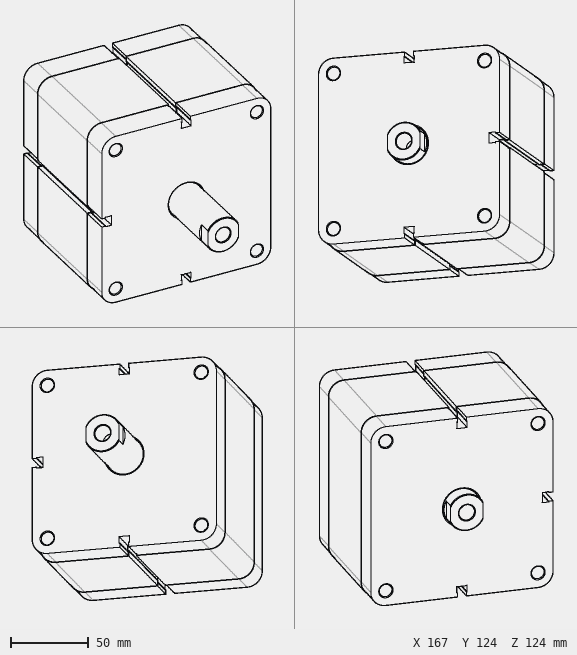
import cadquery as cq
import math

cap_length = 19.5
tube_length = 67.5
housing_length = tube_length + 2 * cap_length
rod_left_overhang = 10.25
rod_right_overhang = 50.25
rod_length = rod_left_overhang + housing_length + rod_right_overhang

tube_width = 124.0
cap_setback = 0.3
cap_width = tube_width - 2 * cap_setback

hole_offset = 51.5
hole_diameter = 8.5
hole_chamfer = 0.6
tube_corner_radius = tube_width / 2 - hole_offset
cap_corner_radius = cap_width / 2 - hole_offset

slot_floor_height = 54.5
cap_slot_mouth = 6.0
cap_slot_floor = 7.0
cap_slot_step_height = 58.8
slot_wall_setback = 0.5
tube_slot_mouth = cap_slot_mouth - 2 * slot_wall_setback
tube_slot_floor = cap_slot_floor - 2 * slot_wall_setback
tube_slot_step_height = 58.2
slot_angles = (0, 90, 180)

rod_diameter = 25.0
rod_end_chamfer = 0.5
rod_bore_chamfer = 0.8
flat_width = 22.0
flat_length = 9.0
tap_diameter = 10.5
tap_depth = 20.0
tap_chamfer = 0.5
drill_point_angle = 118.0


def square_block(start, length, width, corner_radius):
    """Rounded square prism around the X axis, running from X = start."""
    return (
        cq.Workplane("YZ", origin=(start, 0, 0))
        .rect(width, width)
        .extrude(length)
        .edges("|X")
        .fillet(corner_radius)
    )


def cut_slots(block, start, length, mouth, floor, step_height):
    """Cut the undercut slots into the top, front and bottom sides."""
    top = tube_width / 2
    profile = [
        (-floor / 2, slot_floor_height),
        (floor / 2, slot_floor_height),
        (floor / 2, step_height),
        (mouth / 2, step_height),
        (mouth / 2, top),
        (-mouth / 2, top),
        (-mouth / 2, step_height),
        (-floor / 2, step_height),
    ]
    slot = cq.Workplane("YZ", origin=(start, 0, 0)).polyline(profile).close().extrude(length)
    for angle in slot_angles:
        block = block.cut(slot.rotate((0, 0, 0), (1, 0, 0), angle))
    return block


def cut_holes(block, start, length):
    """Cut the rod bore and the four tie-rod holes."""
    rod_bore = cq.Workplane("YZ", origin=(start, 0, 0)).circle(rod_diameter / 2).extrude(length)
    holes = (
        cq.Workplane("YZ", origin=(start, 0, 0))
        .rect(2 * hole_offset, 2 * hole_offset, forConstruction=True)
        .vertices()
        .circle(hole_diameter / 2)
        .extrude(length)
    )
    return block.cut(rod_bore).cut(holes)


def make_tube():
    tube = square_block(cap_length, tube_length, tube_width, tube_corner_radius)
    tube = cut_slots(
        tube, cap_length, tube_length, tube_slot_mouth, tube_slot_floor, tube_slot_step_height
    )
    return cut_holes(tube, cap_length, tube_length)


def make_left_cap():
    """End cap whose outer face, with chamfered holes, lies at X = 0."""
    cap = square_block(0, cap_length, cap_width, cap_corner_radius)
    cap = cut_slots(cap, 0, cap_length, cap_slot_mouth, cap_slot_floor, cap_slot_step_height)
    cap = cut_holes(cap, 0, cap_length)
    rod_rim = cap.faces("<X").edges("%CIRCLE").edges(cq.selectors.RadiusNthSelector(-1))
    cap = rod_rim.chamfer(rod_bore_chamfer)
    tie_rod_rims = cap.faces("<X").edges(cq.selectors.RadiusNthSelector(0))
    return tie_rod_rims.chamfer(hole_chamfer)


def make_tapped_hole():
    """Chamfered hole with a drill point, entering +X from the origin."""
    radius = tap_diameter / 2
    point_depth = radius / math.tan(math.radians(drill_point_angle / 2))
    half_section = [
        (0, 0),
        (0, radius + tap_chamfer),
        (tap_chamfer, radius),
        (tap_depth, radius),
        (tap_depth + point_depth, 0),
    ]
    return (
        cq.Workplane("XY")
        .polyline(half_section)
        .close()
        .revolve(360, (0, 0, 0), (1, 0, 0))
    )


def make_rod():
    """Through rod with a tapped hole and two wrench flats at each end."""
    rod = (
        cq.Workplane("YZ", origin=(-rod_left_overhang, 0, 0))
        .circle(rod_diameter / 2)
        .extrude(rod_length)
        .faces("<X or >X")
        .chamfer(rod_end_chamfer)
    )
    flat_depth = (rod_diameter - flat_width) / 2
    end_cut = make_tapped_hole()
    for side in (-1, 1):
        flat = cq.Workplane("XY").box(flat_length, flat_depth, rod_diameter)
        end_cut = end_cut.add(
            flat.translate((flat_length / 2, side * (flat_width + flat_depth) / 2, 0))
        )
    end_cut = end_cut.combine().translate((-rod_left_overhang, 0, 0))
    rod_middle = rod_length / 2 - rod_left_overhang
    return rod.cut(end_cut).cut(end_cut.mirror("YZ", (rod_middle, 0, 0)))


tube = make_tube()
left_cap = make_left_cap()
right_cap = left_cap.mirror("YZ", (housing_length / 2, 0, 0))
rod = make_rod()

result = cq.Compound.makeCompound([tube.val(), left_cap.val(), right_cap.val(), rod.val()])